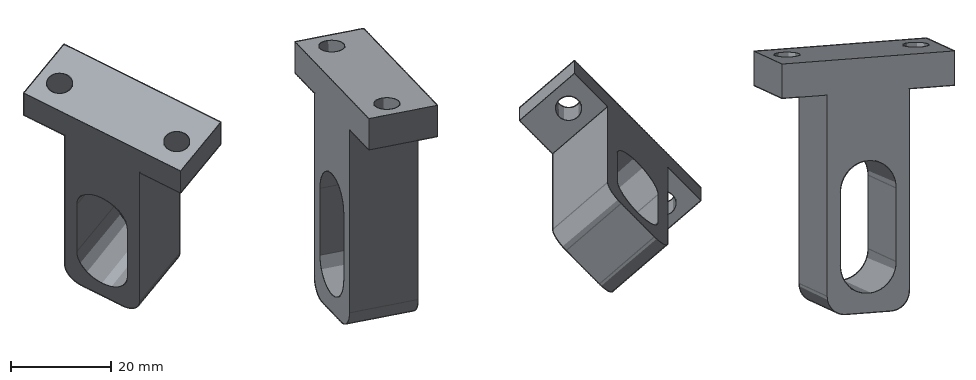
import cadquery as cq

flange_width = 37.3
depth = 15.0
height = 52.0
flange_thickness = 7.0
flange_bottom = height - flange_thickness

stem_width = 17.8
stem_corner_radius = 4.0

slot_width = 12.0
slot_length = 27.0
slot_bottom_wall = 4.0

hole_diameter = 5.2
hole_spacing = 27.8
hole_front_offset = 6.0


def make_block(width, bottom, top):
    """Full-depth block centred in X, between two heights."""
    return cq.Workplane("XY").box(width, depth, top - bottom, centered=(True, False, False)).translate(
        (0, 0, bottom)
    )


def make_slot():
    center_height = slot_bottom_wall + slot_length / 2
    return (
        cq.Workplane("XZ")
        .center(0, center_height)
        .slot2D(slot_length, slot_width, angle=90)
        .extrude(-depth)
    )


def make_mounting_holes():
    return (
        cq.Workplane("XY")
        .workplane(offset=flange_bottom)
        .pushPoints([(side * hole_spacing / 2, hole_front_offset) for side in (-1, 1)])
        .circle(hole_diameter / 2)
        .extrude(flange_thickness)
    )


flange = make_block(flange_width, flange_bottom, height)
stem = make_block(stem_width, 0, flange_bottom)
stem = stem.faces("<Z").edges("|Y").fillet(stem_corner_radius)

result = flange.union(stem).cut(make_slot()).cut(make_mounting_holes())